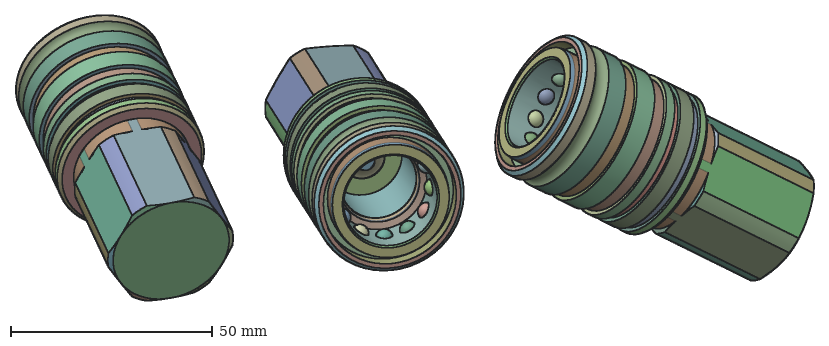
import cadquery as cq
import math

TOTAL_LENGTH = 75.0

SLEEVE_FRONT = 1.1
SLEEVE_REAR = 40.0
SLEEVE_DIAMETER = 38.0
SLEEVE_RADIUS = SLEEVE_DIAMETER / 2
SLEEVE_CHAMFER = 1.0
RECESS_RADIUS = 16.9
RECESS_DEPTH = 3.75
GRIP_DEPTH = 1.05
GRIP_RADIUS = SLEEVE_RADIUS - GRIP_DEPTH
GRIP_GROOVES = [(14.0, 17.5), (22.95, 26.6), (29.2, 31.0), (35.1, 37.1)]
ROUND_GROOVE_CENTRE = 6.75
ROUND_GROOVE_WIDTH = 4.05
ROUND_GROOVE_DEPTH = 1.5

HEX_START = 44.55
HEX_FLAT_RADIUS = 15.0
HEX_CORNER_RADIUS = 16.2
HEX_FRONT_CHAMFER = 0.3
HEX_REAR_CHAMFER = 0.5
HEX_SIDES = 6
FLAT_TRACE_HALF_WIDTH = 1.2
NECK_RADIUS = math.hypot(HEX_FLAT_RADIUS, FLAT_TRACE_HALF_WIDTH)
NOSE_TAPER_DEPTH = 0.2

SOCKET_RADIUS = 11.85
SOCKET_LIP = 0.45
SHOULDER_START = 12.8
SHOULDER_END = 13.7
SHOULDER_END_RADIUS = 10.2
THROAT_START = 14.2
THROAT_RADIUS = 10.0
SEAL_LENGTH = 1.8
SEAL_HEIGHT = 0.3
FLOOR = 33.75

STEM_TIP_RADIUS = 2.4
STEM_BASE_RADIUS = 5.3
STEM_PLINTH_RADIUS = 5.55
STEM_PLINTH_HEIGHT = 0.4

BALL_COUNT = 12
BALL_RADIUS = 2.25
BALL_PITCH_RADIUS = 12.45
BALL_X = 7.95


def revolve_about_x(profile):
    return profile.close().revolve(360, (0, 0, 0), (1, 0, 0))


def ring_cutter(start, end, inner_radius):
    """Ring that clears everything outside inner_radius between two places along X."""
    ring = cq.Workplane("YZ", origin=(start, 0, 0)).circle(SLEEVE_DIAMETER).circle(inner_radius)
    return ring.extrude(end - start)


def round_groove_cutter():
    half_width = ROUND_GROOVE_WIDTH / 2
    return revolve_about_x(
        cq.Workplane("XY")
        .moveTo(ROUND_GROOVE_CENTRE - half_width, SLEEVE_RADIUS)
        .threePointArc(
            (ROUND_GROOVE_CENTRE, SLEEVE_RADIUS - ROUND_GROOVE_DEPTH),
            (ROUND_GROOVE_CENTRE + half_width, SLEEVE_RADIUS),
        )
    )


def make_sleeve():
    sleeve = (
        cq.Workplane("YZ", origin=(SLEEVE_FRONT, 0, 0))
        .circle(SLEEVE_RADIUS)
        .extrude(SLEEVE_REAR - SLEEVE_FRONT)
        .faces("<X or >X")
        .chamfer(SLEEVE_CHAMFER)
    )
    bore = cq.Workplane("YZ").circle(NECK_RADIUS).extrude(SLEEVE_REAR)
    recess = cq.Workplane("YZ").circle(RECESS_RADIUS).extrude(SLEEVE_FRONT + RECESS_DEPTH)
    sleeve = sleeve.cut(bore).cut(recess).cut(round_groove_cutter())
    for start, end in GRIP_GROOVES:
        sleeve = sleeve.cut(ring_cutter(start, end, GRIP_RADIUS))
    return sleeve


def make_core_blank():
    """Turned blank: nose, neck and the chamfered cylinder that rounds the hexagon corners."""
    return revolve_about_x(
        cq.Workplane("XY")
        .lineTo(0, NECK_RADIUS - NOSE_TAPER_DEPTH)
        .lineTo(SLEEVE_FRONT, NECK_RADIUS)
        .lineTo(HEX_START, NECK_RADIUS)
        .lineTo(HEX_START + HEX_FRONT_CHAMFER, HEX_CORNER_RADIUS)
        .lineTo(TOTAL_LENGTH - HEX_REAR_CHAMFER, HEX_CORNER_RADIUS)
        .lineTo(TOTAL_LENGTH, HEX_FLAT_RADIUS)
        .lineTo(TOTAL_LENGTH, 0)
    )


def hexagon_cutter():
    """Everything outside the hexagon, from the rear of the sleeve to the rear of the core."""
    hex_diameter = 2 * HEX_FLAT_RADIUS / math.cos(math.pi / HEX_SIDES)
    return (
        cq.Workplane("YZ", origin=(SLEEVE_REAR, 0, 0))
        .circle(hex_diameter)
        .polygon(HEX_SIDES, hex_diameter)
        .extrude(TOTAL_LENGTH - SLEEVE_REAR)
    )


def socket_cutter():
    seal_end = THROAT_START + SEAL_LENGTH
    seal_crest = (THROAT_START + SEAL_LENGTH / 2, THROAT_RADIUS - SEAL_HEIGHT)
    stem_flare = STEM_BASE_RADIUS - STEM_TIP_RADIUS
    plinth_top = FLOOR - STEM_PLINTH_HEIGHT
    stem_tip = plinth_top - stem_flare
    flare_offset = stem_flare * (1 - math.sqrt(0.5))
    flare_middle = (plinth_top - flare_offset, STEM_TIP_RADIUS + flare_offset)
    return revolve_about_x(
        cq.Workplane("XY")
        .lineTo(0, SOCKET_RADIUS + SOCKET_LIP)
        .lineTo(SOCKET_LIP, SOCKET_RADIUS)
        .lineTo(SHOULDER_START, SOCKET_RADIUS)
        .lineTo(SHOULDER_END, SHOULDER_END_RADIUS)
        .lineTo(THROAT_START, THROAT_RADIUS)
        .threePointArc(seal_crest, (seal_end, THROAT_RADIUS))
        .lineTo(FLOOR, THROAT_RADIUS)
        .lineTo(FLOOR, STEM_PLINTH_RADIUS)
        .lineTo(plinth_top, STEM_PLINTH_RADIUS)
        .lineTo(plinth_top, STEM_BASE_RADIUS)
        .threePointArc(flare_middle, (stem_tip, STEM_TIP_RADIUS))
        .lineTo(stem_tip, 0)
    )


def add_locking_balls(core):
    for index in range(BALL_COUNT):
        angle = 2 * math.pi * index / BALL_COUNT
        centre = (BALL_X, BALL_PITCH_RADIUS * math.cos(angle), BALL_PITCH_RADIUS * math.sin(angle))
        core = core.union(cq.Workplane("XY").sphere(BALL_RADIUS).translate(centre))
    return core


def make_core():
    core = make_core_blank().cut(hexagon_cutter()).cut(socket_cutter())
    return add_locking_balls(core)


sleeve = make_sleeve()
core = make_core()

result = cq.Compound.makeCompound([sleeve.val(), core.val()])